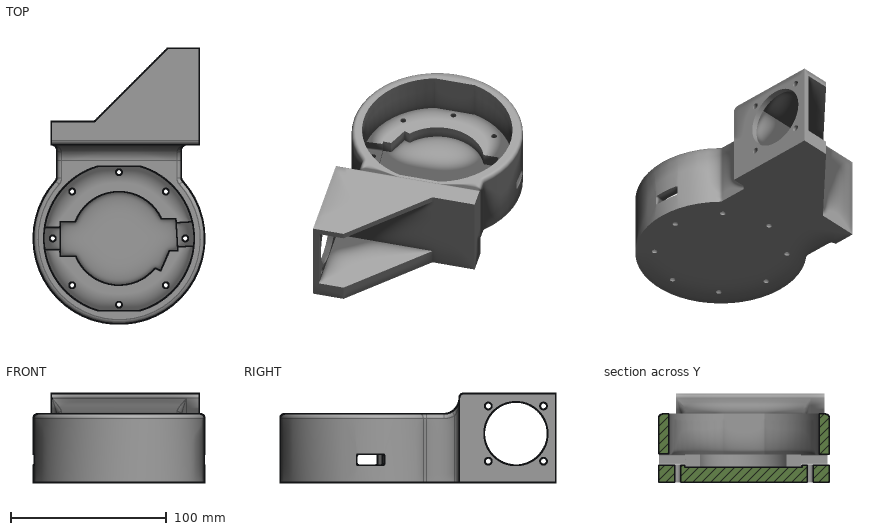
import cadquery as cq
import math

ring_diameter = 110.0
ring_height = 44.3
cavity_diameter = 96.5
cavity_floor = 18.2
cavity_flat = 46.4
edge_radius = 3.0

recess_diameter = 60.0
recess_floor = 10.1
notch_reach = 37.7
notch_front = -11.3
notch_back = 10.6
right_notch_back = 12.7
right_notch_back_reach = 36.5
right_notch_step = -7.8
right_notch_step_reach = 32.4
right_notch_tip = (26.7, -20.7)
right_notch_root = (23.2, -19.1)

screw_count = 8
screw_diameter = 3.7
screw_circle_diameter = 85.0

slot_bottom = 11.3
slot_inner_x = 36.3
left_slot_front = -8.7
left_slot_back = 7.6
left_slot_top = 18.4
left_slot_front_radius = 2.1
left_slot_back_radius = 1.0
right_slot_width = 17.7
right_slot_radius = 1.0
right_slot_tilt = 3.5

part_length = 177.0
part_height = 57.4
plate_left = -43.5
plate_right = 51.5
plate_front = 60.0
plate_thickness = 15.0
neck_width = 80.0
saddle_radius = 10.0

bracket_flat = 20.2
fan_wall = 3.9
bracket_roof = 3.9
bracket_base = 10.0
fan_diameter = 40.5
fan_screw_spacing = 35.4
fan_screw_diameter = 4.2
fan_center_z = 31.5
fan_center_inset = 25.7

ring_radius = ring_diameter / 2
plate_back = plate_front + plate_thickness
bracket_back = part_length - ring_radius
bracket_length = bracket_back - plate_back
fan_center_y = bracket_back - fan_center_inset


def block(x_min, x_max, y_min, y_max, z_min, z_max):
    size = (x_max - x_min, y_max - y_min, z_max - z_min)
    return cq.Workplane("XY").box(*size, centered=False).translate((x_min, y_min, z_min))


def make_body():
    """Housing, neck and plate with all their rounded edges."""
    half_neck = neck_width / 2
    joint_y = math.sqrt(ring_radius**2 - half_neck**2)
    neck_end = plate_front + plate_thickness / 2
    housing = cq.Workplane("XY").circle(ring_radius).extrude(ring_height)
    neck = block(-half_neck, half_neck, 0, neck_end, 0, ring_height)
    plate = block(plate_left, plate_right, plate_front, plate_back, 0, part_height)
    plate = plate.edges("|X and >Z and <Y").fillet(edge_radius)
    body = housing.union(neck).union(plate)
    for corner_y in (joint_y, plate_front):
        for side in (-1, 1):
            point = (side * half_neck, corner_y, ring_height / 2)
            body = body.edges(cq.selectors.NearestToPointSelector(point)).fillet(edge_radius)
    rounded_edges = [
        ((0, plate_front, ring_height), saddle_radius),
        ((0, -ring_radius, ring_height), edge_radius),
    ]
    for point, radius in rounded_edges:
        body = body.edges(cq.selectors.NearestToPointSelector(point)).fillet(radius)
    return body


def make_bracket():
    """Triangular fan bracket: a wall between a base and a roof, open toward -X."""
    outline = [
        (plate_right, plate_back),
        (plate_right, bracket_back),
        (plate_right - bracket_flat, bracket_back),
        (plate_right - bracket_flat - bracket_length, plate_back),
    ]
    bracket = cq.Workplane("XY").polyline(outline).close().extrude(part_height)
    bay = block(plate_left, plate_right - fan_wall, plate_back, bracket_back,
                bracket_base, part_height - bracket_roof)
    fan_holes = (
        cq.Workplane("YZ", origin=(0, fan_center_y, fan_center_z))
        .circle(fan_diameter / 2)
        .rect(fan_screw_spacing, fan_screw_spacing, forConstruction=True)
        .vertices()
        .circle(fan_screw_diameter / 2)
        .extrude(part_length)
    )
    return bracket.cut(bay).cut(fan_holes)


def make_cavity():
    """Round cavity with two flats, open at the top."""
    flats = block(-ring_radius, ring_radius, -cavity_flat, cavity_flat, 0, part_height)
    return (
        cq.Workplane("XY", origin=(0, 0, cavity_floor))
        .circle(cavity_diameter / 2)
        .extrude(ring_height)
        .intersect(flats)
    )


def make_recess():
    """Round recess with a square notch at the left and a stepped one at the right."""
    left_notch = [
        (0, notch_front),
        (-notch_reach, notch_front),
        (-notch_reach, notch_back),
        (0, notch_back),
    ]
    right_notch = [
        (0, right_notch_back),
        (right_notch_back_reach, right_notch_back),
        (notch_reach, right_notch_step),
        (right_notch_step_reach, right_notch_step),
        right_notch_tip,
        right_notch_root,
        (0, 0),
    ]
    floor = cq.Workplane("XY", origin=(0, 0, recess_floor))
    recess = floor.circle(recess_diameter / 2).extrude(part_height)
    for notch in (left_notch, right_notch):
        recess = recess.union(floor.polyline(notch).close().extrude(part_height))
    return recess.intersect(make_cavity().translate((0, 0, recess_floor - cavity_floor)))


def make_slots():
    """Cable slots at the left and right, open to the cavity floor."""
    left = block(-ring_diameter, -slot_inner_x, left_slot_front, left_slot_back, slot_bottom, left_slot_top)
    left = left.edges("|X and <Y").fillet(left_slot_front_radius)
    left = left.edges("|X and >Y").fillet(left_slot_back_radius)
    half_width = right_slot_width / 2
    right = block(slot_inner_x, ring_diameter, -half_width, half_width, slot_bottom, cavity_floor)
    right = right.edges("|X").fillet(right_slot_radius)
    right = right.rotate((0, 0, 0), (0, 0, 1), right_slot_tilt)
    return left.union(right)


def make_screw_holes():
    return (
        cq.Workplane("XY")
        .polarArray(screw_circle_diameter / 2, 0, 360, screw_count)
        .circle(screw_diameter / 2)
        .extrude(part_height)
    )


result = make_body().union(make_bracket())
for cutter in (make_cavity(), make_recess(), make_slots(), make_screw_holes()):
    result = result.cut(cutter)